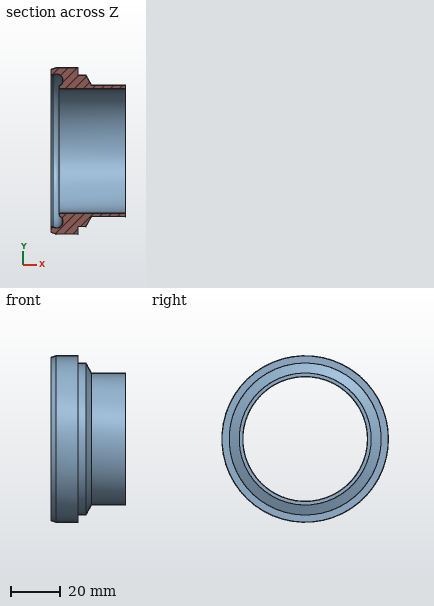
import cadquery as cq


total_length = 30.0
flange_radius = 66.9 / 2
flange_back = 11.0
shoulder_radius = 61.0 / 2
shoulder_end = 14.05
tube_radius = 53.0 / 2
taper_end = 16.25
lead_in_length = 2.0
lead_in_drop = 0.55
rim_round = 0.4

bore_radius = 50.0 / 2
mouth_radius = 30.4
mouth_round = 0.55
mouth_depth = 0.8
groove_inner_radius = 26.55
groove_floor_radius = 28.3
groove_depth = 4.75
lip_depth = 3.35
lip_outer_round = groove_inner_radius - 25.95
lip_inner_round = 25.55 - bore_radius

DIAGONAL = 0.5 ** 0.5


def outside(profile):
    """Draw the outer contour from the front face to the tube end."""
    lead_in_radius = flange_radius - lead_in_drop
    return (
        profile.moveTo(0, lead_in_radius - rim_round)
        .threePointArc(
            (rim_round * (1 - DIAGONAL), lead_in_radius - rim_round * (1 - DIAGONAL)),
            (rim_round, lead_in_radius),
        )
        .lineTo(lead_in_length, flange_radius)
        .lineTo(flange_back, flange_radius)
        .lineTo(flange_back, shoulder_radius)
        .lineTo(shoulder_end, shoulder_radius)
        .lineTo(taper_end, tube_radius)
        .lineTo(total_length, tube_radius)
    )


def inside(profile):
    """Draw the bore, the lip and the gasket groove back to the front face."""
    bore_start = lip_depth + lip_inner_round
    groove_inner_start = lip_depth + lip_outer_round
    return (
        profile.lineTo(total_length, bore_radius)
        .lineTo(bore_start, bore_radius)
        .threePointArc(
            (
                bore_start - lip_inner_round * DIAGONAL,
                bore_radius + lip_inner_round * (1 - DIAGONAL),
            ),
            (lip_depth, bore_radius + lip_inner_round),
        )
        .lineTo(lip_depth, groove_inner_radius - lip_outer_round)
        .threePointArc(
            (
                groove_inner_start - lip_outer_round * DIAGONAL,
                groove_inner_radius - lip_outer_round * (1 - DIAGONAL),
            ),
            (groove_inner_start, groove_inner_radius),
        )
        .threePointArc((groove_depth, groove_floor_radius), (mouth_depth, mouth_radius))
        .threePointArc(
            (mouth_depth * (1 - DIAGONAL), mouth_radius + mouth_round * (1 - DIAGONAL)),
            (0, mouth_radius + mouth_round),
        )
        .close()
    )


section = inside(outside(cq.Workplane("XY")))
result = section.revolve(360, (0, 0, 0), (1, 0, 0))